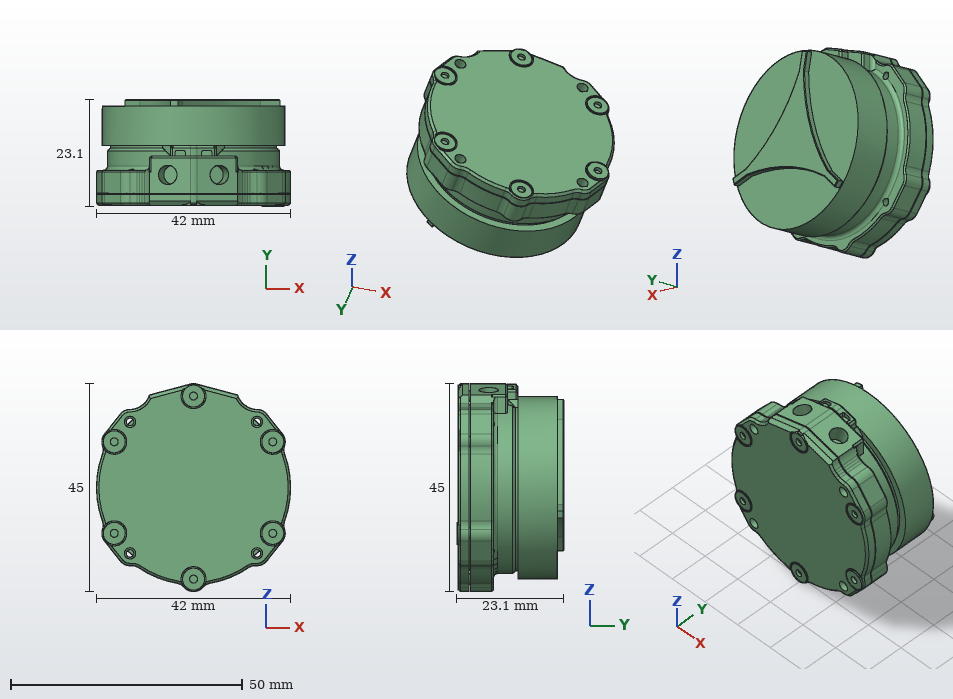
import cadquery as cq
import math

GAP_FRONT = 2.45
GAP_BACK = 2.65
FLANGE_BACK = 7.65
BLOCK_BACK = 10.7
BEVEL_START = 11.85
BEVEL_END = 12.45
DRUM_FRONT = 12.95
DRUM_BACK = 21.5
SPIDER_BACK = 22.9

BODY_RADIUS = 21.0
NECK_RADIUS = 18.63
FOOT_RADIUS = 0.95
DRUM_RADIUS = 19.75
GASKET_RADIUS = 18.0
BEVEL_DEPTH = BEVEL_END - BEVEL_START
COVER_CHAMFER = 0.55
FLANGE_CHAMFER = 0.35
BLEND_RADIUS = 2.7

SCREW_COUNT = 6
SCREW_CIRCLE = 19.8
BOSS_RADIUS = 2.7
HEAD_RADIUS = 2.4
HEAD_GROOVE_DEPTH = 0.22
HEAD_DEPTH = 1.35
SHANK_RADIUS = 1.15
SOCKET_RADIUS = 0.85
SOCKET_DEPTH = 0.67
RAISED_HEAD = 0.2
RAISED_SCREW_ANGLE = -30

LOBE_X = 13.7
LOBE_Z = 14.2
MOUNT_RADIUS = 0.8
CLEARANCE_RADIUS = 1.2

ROOF_ANGLE = math.radians(15)
ROOF_DISTANCE = SCREW_CIRCLE * math.cos(ROOF_ANGLE) + BOSS_RADIUS
BLOCK_HALF_WIDTH = 9.55
SCOOP_RADIUS = 4.4
BLOCK_CHAMFER = 0.4
BLOCK_BASE_Z = 15.8
ROOF_BEVEL_LENGTH = 1.0
ROOF_BEVEL_DEPTH = 0.8
PORT_X = 5.6
PORT_Y = 6.65
PORT_RADIUS = 2.05
PORT_DEPTH = 4.5

SHELF_HALF_WIDTH = 5.0
SHELF_DROP = 0.15
SHELF_CHAMFER = 0.45
SLOT_INNER = 1.75
SLOT_OUTER = 4.0
SLOT_BACK = 11.95
SLOT_DEPTH = 1.8
SLOT_CHAMFER = 0.3
GUSSET_REACH = 6.7
GUSSET_LOW = 17.28
GUSSET_HIGH = 19.08
GUSSET_FRONT = 10.8

ARM_COUNT = 3
FIRST_ARM_ANGLE = 102.5
ARM_HALF_WIDTH = 0.832
ARM_TIP = 19.4
ARM_ROOT = 14.95
HUB_RADIUS = 6.3
SPIDER_CHAMFER = 0.2


def section(y):
    """Workplane across the axis at station y, with local axes X and Z."""
    return cq.Workplane("XZ", origin=(0, y, 0))


def disc(radius, front, back, places=((0, 0),)):
    return section(front).pushPoints(places).circle(radius).extrude(front - back)


def polar(radius, degrees):
    angle = math.radians(degrees)
    return (radius * math.cos(angle), radius * math.sin(angle))


def roof_height(x, distance=ROOF_DISTANCE):
    return (distance - abs(x) * math.sin(ROOF_ANGLE)) / math.cos(ROOF_ANGLE)


SCREW_ANGLES = [90 + 360 / SCREW_COUNT * i for i in range(SCREW_COUNT)]
SCREWS = [polar(SCREW_CIRCLE, angle) for angle in SCREW_ANGLES]
LOBES = [(sx * LOBE_X, sz * LOBE_Z) for sx in (-1, 1) for sz in (-1, 1)]


def lobe_hull(lobe, screw, front, back):
    """Straight-sided web joining a corner lobe to its neighbouring screw boss."""
    dx, dz = screw[0] - lobe[0], screw[1] - lobe[1]
    web = (
        section(front)
        .center((lobe[0] + screw[0]) / 2, (lobe[1] + screw[1]) / 2)
        .transformed(rotate=(0, 0, math.degrees(math.atan2(dz, dx))))
        .rect(math.hypot(dx, dz), 2 * BOSS_RADIUS)
        .extrude(front - back)
    )
    return web.union(disc(BOSS_RADIUS, front, back, [lobe]))


def roof_prism(half_width, distance, base, front, back):
    """Two-sided roof with its ridge rounded like the top screw boss."""
    ridge_x = BOSS_RADIUS * math.sin(ROOF_ANGLE)
    ridge_z = roof_height(ridge_x, distance)
    crown = ridge_z + BOSS_RADIUS * (1 - math.cos(ROOF_ANGLE))
    edge_z = roof_height(half_width, distance)
    return (
        section(front)
        .moveTo(-half_width, base)
        .lineTo(-half_width, edge_z)
        .lineTo(-ridge_x, ridge_z)
        .threePointArc((0, crown), (ridge_x, ridge_z))
        .lineTo(half_width, edge_z)
        .lineTo(half_width, base)
        .close()
        .extrude(front - back)
    )


def scoop_fill(side, front, back):
    """Concave shoulder running from the roof edge down to a corner lobe."""
    lobe_top = LOBE_Z + BOSS_RADIUS
    edge_z = roof_height(BLOCK_HALF_WIDTH)
    drop = SCOOP_RADIUS - (edge_z - lobe_top)
    scoop_x = BLOCK_HALF_WIDTH + math.sqrt(SCOOP_RADIUS ** 2 - drop ** 2)
    middle = polar(SCOOP_RADIUS, 225)
    return (
        section(front)
        .moveTo(side * BLOCK_HALF_WIDTH, edge_z)
        .threePointArc(
            (side * (scoop_x + middle[0]), lobe_top + SCOOP_RADIUS + middle[1]),
            (side * scoop_x, lobe_top),
        )
        .lineTo(side * scoop_x, 0)
        .lineTo(side * BLOCK_HALF_WIDTH, 0)
        .close()
        .extrude(front - back)
    )


def flange_blank(front, back):
    """Prism with the lobed outline of cover and flange, its inner corners rounded."""
    blank = disc(BODY_RADIUS, front, back).union(disc(BOSS_RADIUS, front, back, SCREWS))
    for lobe in LOBES:
        screw = min(SCREWS, key=lambda s: math.dist(s, lobe))
        blank = blank.union(lobe_hull(lobe, screw, front, back))
    blank = blank.union(roof_prism(BLOCK_HALF_WIDTH, ROOF_DISTANCE, 0, front, back))
    for side in (-1, 1):
        blank = blank.union(scoop_fill(side, front, back))
    outline = blank.faces("<Y").wires().val()
    smoothed = outline.offset2D(BLEND_RADIUS)[0].offset2D(-BLEND_RADIUS)[0]
    return cq.Workplane(cq.Solid.extrudeLinear(smoothed, [], cq.Vector(0, back - front, 0)))


def cover():
    body = flange_blank(0, GAP_FRONT).faces("<Y").chamfer(COVER_CHAMFER)
    for side in (-1, 1):
        along = (side * math.cos(ROOF_ANGLE), 0, -math.sin(ROOF_ANGLE))
        up = (side * math.sin(ROOF_ANGLE), 0, math.cos(ROOF_ANGLE))
        start = (BOSS_RADIUS * up[0], 0, SCREW_CIRCLE + BOSS_RADIUS * up[2])
        plane = cq.Plane(origin=start, xDir=up, normal=along)
        outward = plane.yDir.y
        wedge = (
            cq.Workplane(plane)
            .polyline([(-ROOF_BEVEL_DEPTH, 0), (0.45, 0), (0.45, outward * ROOF_BEVEL_LENGTH),
                       (0, outward * ROOF_BEVEL_LENGTH)])
            .close()
            .extrude(2 * BLOCK_HALF_WIDTH)
        )
        body = body.cut(wedge)
    return body


def flange():
    return flange_blank(GAP_BACK, FLANGE_BACK).faces(">Y").chamfer(FLANGE_CHAMFER)


def port_block():
    block = roof_prism(BLOCK_HALF_WIDTH, ROOF_DISTANCE, BLOCK_BASE_Z, GAP_BACK, BLOCK_BACK)
    block = block.faces("<X or >X").edges(">Z").chamfer(BLOCK_CHAMFER)
    return block.faces(">Y").chamfer(BLOCK_CHAMFER)


def block_foot(side):
    """Concave fillet from one side of the port block down to the flange."""
    middle = FOOT_RADIUS * (1 - math.sqrt(0.5))
    foot_end = BLOCK_HALF_WIDTH + FOOT_RADIUS
    root = FLANGE_BACK - FLANGE_CHAMFER
    foot = (
        cq.Workplane("XY", origin=(0, 0, BLOCK_BASE_Z))
        .moveTo(0, root)
        .lineTo(side * foot_end, root)
        .lineTo(side * foot_end, FLANGE_BACK)
        .threePointArc(
            (side * (BLOCK_HALF_WIDTH + middle), FLANGE_BACK + middle),
            (side * BLOCK_HALF_WIDTH, FLANGE_BACK + FOOT_RADIUS),
        )
        .lineTo(0, FLANGE_BACK + FOOT_RADIUS)
        .close()
        .extrude(roof_height(BLOCK_HALF_WIDTH) - BLOCK_CHAMFER - BLOCK_BASE_Z)
    )
    return foot.intersect(flange_blank(root, FLANGE_BACK + FOOT_RADIUS))


def round_body():
    """Gasket, flared neck, bevelled groove and drum, turned about the axis."""
    foot_middle = FOOT_RADIUS * (1 - math.sqrt(0.5))
    groove_radius = NECK_RADIUS - BEVEL_DEPTH
    return (
        cq.Workplane("YZ")
        .moveTo(0.45, 0)
        .lineTo(0.45, GASKET_RADIUS)
        .lineTo(GAP_BACK + 0.45, GASKET_RADIUS)
        .lineTo(GAP_BACK + 0.45, NECK_RADIUS + FOOT_RADIUS)
        .lineTo(FLANGE_BACK, NECK_RADIUS + FOOT_RADIUS)
        .threePointArc(
            (FLANGE_BACK + foot_middle, NECK_RADIUS + foot_middle),
            (FLANGE_BACK + FOOT_RADIUS, NECK_RADIUS),
        )
        .lineTo(BEVEL_START, NECK_RADIUS)
        .lineTo(BEVEL_END, groove_radius)
        .lineTo(DRUM_FRONT, groove_radius)
        .lineTo(DRUM_FRONT, DRUM_RADIUS)
        .lineTo(DRUM_BACK, DRUM_RADIUS)
        .lineTo(DRUM_BACK, 0)
        .close()
        .revolve(360, (0, 0, 0), (1, 0, 0))
    )


def connector_shelf():
    shelf = roof_prism(SHELF_HALF_WIDTH, ROOF_DISTANCE - SHELF_DROP, 0, BLOCK_BACK, DRUM_FRONT)
    shelf = shelf.faces("<X or >X").edges(">Z").chamfer(SHELF_CHAMFER)
    shelf = shelf.faces(">Y").chamfer(SHELF_CHAMFER)
    slot = (
        cq.Workplane("XY", origin=(0, 0, SCREW_CIRCLE + BOSS_RADIUS))
        .center((SLOT_INNER + SLOT_OUTER) / 2, (BLOCK_BACK + SLOT_BACK) / 2)
        .rect(SLOT_OUTER - SLOT_INNER, SLOT_BACK - BLOCK_BACK)
        .extrude(-SLOT_DEPTH)
        .edges("|Z and >Y")
        .chamfer(SLOT_CHAMFER)
    )
    gusset = (
        section(GUSSET_FRONT)
        .polyline([(0, GUSSET_LOW), (GUSSET_REACH, GUSSET_LOW),
                   (SHELF_HALF_WIDTH, GUSSET_HIGH), (0, GUSSET_HIGH)])
        .close()
        .extrude(GUSSET_FRONT - DRUM_FRONT)
    )
    gusset_plan = (
        cq.Workplane("XY")
        .polyline([(0, GUSSET_FRONT), (SHELF_HALF_WIDTH, GUSSET_FRONT),
                   (GUSSET_REACH, BEVEL_END), (GUSSET_REACH, DRUM_FRONT), (0, DRUM_FRONT)])
        .close()
        .extrude(BODY_RADIUS)
    )
    gusset = gusset.intersect(gusset_plan)
    shelf = shelf.union(gusset).union(gusset.mirror("YZ"))
    return shelf.cut(slot).cut(slot.mirror("YZ"))


def spider():
    """Three arms joined by concave arcs; a rim chamfer runs round the back."""
    step = 360 / ARM_COUNT
    half_angle = math.degrees(math.asin(ARM_HALF_WIDTH / ARM_ROOT))
    tip_angle = math.degrees(math.asin(ARM_HALF_WIDTH / ARM_TIP))
    outline = section(DRUM_BACK).moveTo(*polar(ARM_ROOT, FIRST_ARM_ANGLE - half_angle))
    for i in range(ARM_COUNT):
        arm = FIRST_ARM_ANGLE + i * step
        outline = (
            outline.lineTo(*polar(ARM_TIP, arm - tip_angle))
            .threePointArc(polar(ARM_TIP, arm), polar(ARM_TIP, arm + tip_angle))
            .lineTo(*polar(ARM_ROOT, arm + half_angle))
            .threePointArc(
                polar(HUB_RADIUS, arm + step / 2),
                polar(ARM_ROOT, arm + step - half_angle),
            )
        )
    body = outline.close().extrude(DRUM_BACK - SPIDER_BACK)
    return body.faces(">Y").chamfer(SPIDER_CHAMFER)


def port(side):
    """Blind hole square to one side of the roof."""
    plane = cq.Plane(
        origin=(side * PORT_X, PORT_Y, roof_height(PORT_X)),
        xDir=(0, 1, 0),
        normal=(side * math.sin(ROOF_ANGLE), 0, math.cos(ROOF_ANGLE)),
    )
    return cq.Workplane(plane).circle(PORT_RADIUS).extrude(-PORT_DEPTH)


part = cover().union(flange()).union(port_block()).union(round_body())
part = part.union(block_foot(-1)).union(block_foot(1))
part = part.union(connector_shelf()).union(spider())

part = part.union(disc(SHANK_RADIUS, HEAD_DEPTH, FLANGE_BACK - 0.45, SCREWS))
part = part.cut(disc(BOSS_RADIUS, 0, HEAD_GROOVE_DEPTH, SCREWS))
part = part.union(disc(HEAD_RADIUS, 0, HEAD_DEPTH, SCREWS))
part = part.union(disc(HEAD_RADIUS, -RAISED_HEAD, HEAD_DEPTH, [polar(SCREW_CIRCLE, RAISED_SCREW_ANGLE)]))
part = part.cut(disc(SOCKET_RADIUS, -RAISED_HEAD, SOCKET_DEPTH, SCREWS))

part = part.cut(disc(CLEARANCE_RADIUS, 0, GAP_BACK, LOBES))
part = part.cut(disc(MOUNT_RADIUS, 0, DRUM_FRONT, LOBES))
part = part.cut(port(-1)).cut(port(1))

result = part